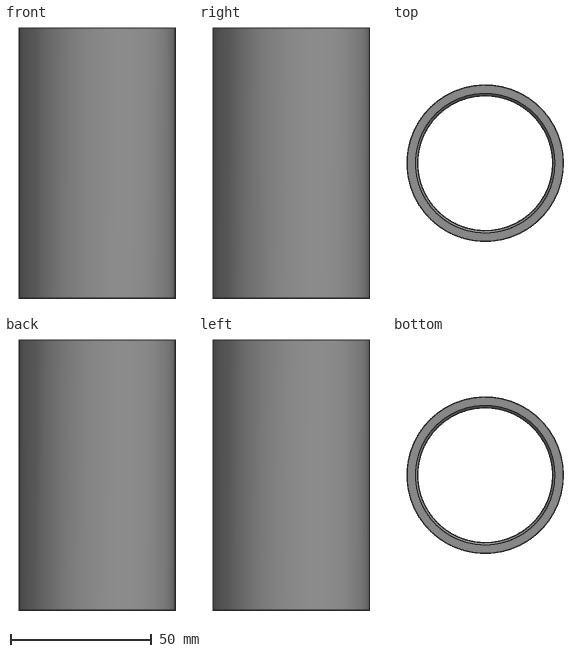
import cadquery as cq

length = 96.0
outer_diameter = 55.6
bore_diameter = 47.8
mouth_chamfer = 0.9

sleeve = (
    cq.Workplane("XY")
    .circle(outer_diameter / 2)
    .circle(bore_diameter / 2)
    .extrude(length)
)

bore_edges = sleeve.faces("<Z or >Z").edges(cq.selectors.RadiusNthSelector(0))
result = bore_edges.chamfer(mouth_chamfer)